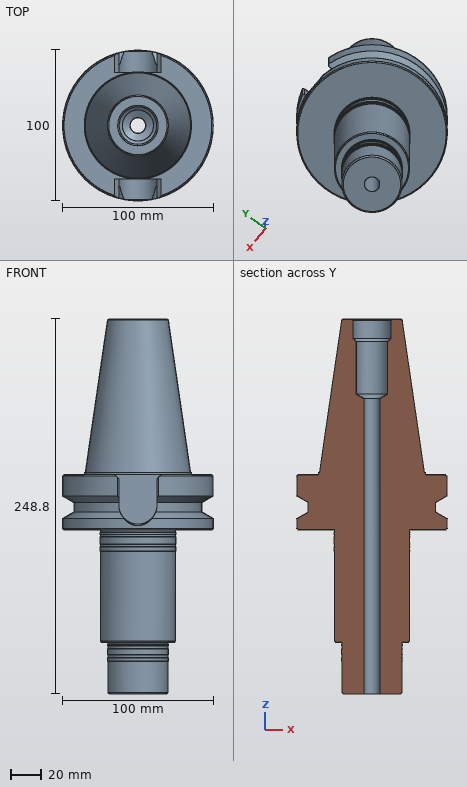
import cadquery as cq
import math

TOTAL_HEIGHT = 248.8

TAPER_RATIO = 7 / 24
TAPER_BASE_Z = 147.0
TAPER_BASE_DIAMETER = 70.0
TAPER_TIP_CHAMFER = 0.7
COLLAR_DIAMETER = 71.2

FLANGE_DIAMETER = 100.0
FLANGE_BOTTOM_Z = 109.0
FLANGE_TOP_Z = 145.5
FLANGE_TOP_CHAMFER = 1.0
FLANGE_BOTTOM_CHAMFER = 0.7
GROOVE_CENTER_Z = 124.0
GROOVE_MOUTH_WIDTH = 15.0
GROOVE_DIAMETER = 85.0
GROOVE_FLANK_ANGLE = 30

SLOT_WIDTH = 25.5
SLOT_FLOOR_OFFSET = 35.3
SLOT_BOTTOM_Z = 112.7
SLOT_TOP_CHAMFER = 2.7
SLOT_RIM_CHAMFER = 1.0

SHANK_DIAMETER = 50.0
SHANK_LAND_DIAMETER = 50.5
SHANK_BOTTOM_Z = 34.3
SHANK_CHAMFER = 0.7
SHANK_LANDS = [(105.7, 107.5), (99.3, 104.5), (94.5, 97.8)]
TIP_DIAMETER = 40.0
TIP_LAND_DIAMETER = 40.5
TIP_CHAMFER = 1.0
TIP_LANDS = [(31.8, 33.0), (25.9, 30.0), (21.6, 24.1)]
LAND_CHAMFER = (SHANK_LAND_DIAMETER - SHANK_DIAMETER) / 2

PILOT_DIAMETER = 25.0
PILOT_DEPTH = 13.0
PILOT_CHAMFER = 1.0
THREAD_DIAMETER = 20.7
THREAD_DEPTH = 49.8
DRILL_TIP_ANGLE = 120
COOLANT_DIAMETER = 10.2


def revolve_profile(points):
    """Revolve (radius, z) points, closed along the Z axis, into a solid."""
    first_z = points[0][1]
    last_z = points[-1][1]
    outline = [(0, first_z), *points, (0, last_z)]
    return cq.Workplane("XZ").polyline(outline).close().revolve(360, (0, 0), (0, 1))


def cylinder(diameter, bottom, top):
    return revolve_profile([(diameter / 2, bottom), (diameter / 2, top)])


def make_taper():
    base_radius = TAPER_BASE_DIAMETER / 2
    tip_radius = base_radius - (TOTAL_HEIGHT - TAPER_BASE_Z) * TAPER_RATIO / 2
    taper = revolve_profile([(base_radius, TAPER_BASE_Z), (tip_radius, TOTAL_HEIGHT)])
    taper = taper.faces(">Z").chamfer(TAPER_TIP_CHAMFER)
    return taper.union(cylinder(COLLAR_DIAMETER, FLANGE_TOP_Z, TAPER_BASE_Z))


def make_flange():
    radius = FLANGE_DIAMETER / 2
    groove_radius = GROOVE_DIAMETER / 2
    half_mouth = GROOVE_MOUTH_WIDTH / 2
    flank_rise = (radius - groove_radius) * math.tan(math.radians(GROOVE_FLANK_ANGLE))
    half_floor = half_mouth - flank_rise
    return revolve_profile([
        (radius - FLANGE_BOTTOM_CHAMFER, FLANGE_BOTTOM_Z),
        (radius, FLANGE_BOTTOM_Z + FLANGE_BOTTOM_CHAMFER),
        (radius, GROOVE_CENTER_Z - half_mouth),
        (groove_radius, GROOVE_CENTER_Z - half_floor),
        (groove_radius, GROOVE_CENTER_Z + half_floor),
        (radius, GROOVE_CENTER_Z + half_mouth),
        (radius, FLANGE_TOP_Z - FLANGE_TOP_CHAMFER),
        (radius - FLANGE_TOP_CHAMFER, FLANGE_TOP_Z),
    ])


def make_lands(diameter, spans):
    lands = cq.Workplane("XY")
    for bottom, top in spans:
        lands = lands.union(cylinder(diameter, bottom, top).edges().chamfer(LAND_CHAMFER))
    return lands


def make_shank():
    shank = cylinder(SHANK_DIAMETER, SHANK_BOTTOM_Z, FLANGE_BOTTOM_Z)
    shank = shank.faces("<Z").chamfer(SHANK_CHAMFER)
    tip = cylinder(TIP_DIAMETER, 0, SHANK_BOTTOM_Z).faces("<Z").chamfer(TIP_CHAMFER)
    shank = shank.union(tip)
    shank = shank.union(make_lands(SHANK_LAND_DIAMETER, SHANK_LANDS))
    return shank.union(make_lands(TIP_LAND_DIAMETER, TIP_LANDS))


def make_slot_cutter():
    """Cutter for the slot on the -Y side, with its chamfers included."""
    half_width = SLOT_WIDTH / 2
    arc_center_z = SLOT_BOTTOM_Z + half_width
    flange_radius = FLANGE_DIAMETER / 2
    slot = (
        cq.Workplane("XZ", origin=(0, -SLOT_FLOOR_OFFSET, 0))
        .moveTo(-half_width, FLANGE_TOP_Z)
        .lineTo(-half_width, arc_center_z)
        .threePointArc((0, SLOT_BOTTOM_Z), (half_width, arc_center_z))
        .lineTo(half_width, FLANGE_TOP_Z)
        .close()
        .extrude(flange_radius)
    )
    top_chamfer = (
        cq.Workplane("XZ", origin=(0, -SLOT_FLOOR_OFFSET, 0))
        .moveTo(-half_width, FLANGE_TOP_Z - SLOT_TOP_CHAMFER)
        .lineTo(-half_width - SLOT_TOP_CHAMFER, FLANGE_TOP_Z)
        .lineTo(half_width + SLOT_TOP_CHAMFER, FLANGE_TOP_Z)
        .lineTo(half_width, FLANGE_TOP_Z - SLOT_TOP_CHAMFER)
        .close()
        .extrude(flange_radius)
    )
    mouth_half_width = half_width + SLOT_RIM_CHAMFER
    rim_y = -math.sqrt(flange_radius**2 - mouth_half_width**2)
    side_chamfer = (
        cq.Workplane("XY", origin=(0, 0, arc_center_z))
        .moveTo(-half_width, rim_y + SLOT_RIM_CHAMFER)
        .lineTo(-mouth_half_width, rim_y)
        .lineTo(-mouth_half_width, -flange_radius)
        .lineTo(mouth_half_width, -flange_radius)
        .lineTo(mouth_half_width, rim_y)
        .lineTo(half_width, rim_y + SLOT_RIM_CHAMFER)
        .close()
        .extrude(FLANGE_TOP_Z - arc_center_z)
    )
    end_chamfer = (
        cq.Workplane("XY")
        .polyline([
            (0, -flange_radius),
            (half_width + SLOT_RIM_CHAMFER, -flange_radius),
            (half_width, -flange_radius + SLOT_RIM_CHAMFER),
            (0, -flange_radius + SLOT_RIM_CHAMFER),
        ])
        .close()
        .revolve(360, (0, 0), (0, 1))
        .translate((0, 0, arc_center_z))
    )
    return slot.union(top_chamfer).union(side_chamfer).union(end_chamfer)


def make_bore():
    pilot_radius = PILOT_DIAMETER / 2
    thread_radius = THREAD_DIAMETER / 2
    coolant_radius = COOLANT_DIAMETER / 2
    pilot_bottom = TOTAL_HEIGHT - PILOT_DEPTH
    thread_bottom = TOTAL_HEIGHT - THREAD_DEPTH
    cone_height = (thread_radius - coolant_radius) / math.tan(math.radians(DRILL_TIP_ANGLE / 2))
    return revolve_profile([
        (coolant_radius, 0),
        (coolant_radius, thread_bottom - cone_height),
        (thread_radius, thread_bottom),
        (thread_radius, pilot_bottom - (pilot_radius - thread_radius)),
        (pilot_radius, pilot_bottom),
        (pilot_radius, TOTAL_HEIGHT - PILOT_CHAMFER),
        (pilot_radius + PILOT_CHAMFER, TOTAL_HEIGHT),
    ])


result = make_taper().union(make_flange()).union(make_shank())
slot_cutter = make_slot_cutter()
for angle in (0, 180):
    result = result.cut(slot_cutter.rotate((0, 0, 0), (0, 0, 1), angle))
result = result.cut(make_bore())